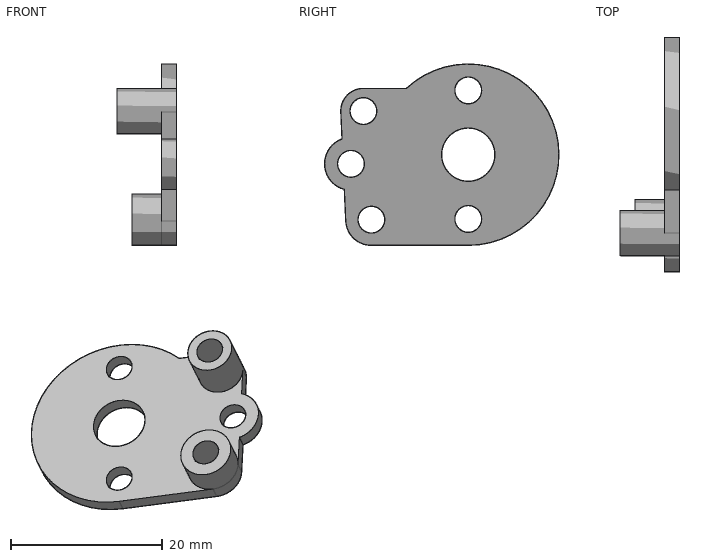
import cadquery as cq
import math

plate_thickness = 2.0
disc_radius = 12.0
center_hole_diameter = 7.0
small_hole_diameter = 3.5
disc_hole_offset = 8.5

upper_radius = 6.0 / 2
upper_length = 7.87
upper_y = -13.85
upper_z = 5.75

lower_radius = 6.82 / 2
lower_length = 5.9
lower_y = -12.8
lower_z = lower_radius - disc_radius

overall_length = 30.98
ear_radius = 3.5
ear_y = disc_radius + ear_radius - overall_length
ear_z = -1.2


def cylinder(y, z, radius, length):
    """Cylinder along X from the back face toward -X."""
    return (
        cq.Workplane("YZ")
        .center(y, z)
        .circle(radius)
        .extrude(-length)
    )


def arm_plate():
    """Plate from the disc to the bosses, closed by their common outer tangent."""
    distance = math.hypot(upper_y - lower_y, upper_z - lower_z)
    line_angle = math.atan2(upper_z - lower_z, upper_y - lower_y)
    normal_angle = line_angle + math.acos((lower_radius - upper_radius) / distance)

    def boss_point(y, z, radius, angle):
        return (y + radius * math.cos(angle), z + radius * math.sin(angle))

    upper_mid_angle = (math.pi / 2 + normal_angle) / 2
    lower_mid_angle = (normal_angle + 3 * math.pi / 2) / 2
    return (
        cq.Workplane("YZ")
        .moveTo(0, upper_z + upper_radius)
        .lineTo(upper_y, upper_z + upper_radius)
        .threePointArc(
            boss_point(upper_y, upper_z, upper_radius, upper_mid_angle),
            boss_point(upper_y, upper_z, upper_radius, normal_angle),
        )
        .lineTo(*boss_point(lower_y, lower_z, lower_radius, normal_angle))
        .threePointArc(
            boss_point(lower_y, lower_z, lower_radius, lower_mid_angle),
            (lower_y, -disc_radius),
        )
        .lineTo(0, -disc_radius)
        .close()
        .extrude(-plate_thickness)
    )


body = cylinder(0, 0, disc_radius, plate_thickness)
body = body.union(arm_plate())
body = body.union(cylinder(ear_y, ear_z, ear_radius, plate_thickness))
body = body.union(cylinder(upper_y, upper_z, upper_radius, upper_length))
body = body.union(cylinder(lower_y, lower_z, lower_radius, lower_length))

body = body.cut(cylinder(0, 0, center_hole_diameter / 2, plate_thickness))
small_hole_centers = [
    (0, disc_hole_offset),
    (0, -disc_hole_offset),
    (ear_y, ear_z),
    (upper_y, upper_z),
    (lower_y, lower_z),
]
for hole_y, hole_z in small_hole_centers:
    body = body.cut(cylinder(hole_y, hole_z, small_hole_diameter / 2, upper_length))

result = body.clean()